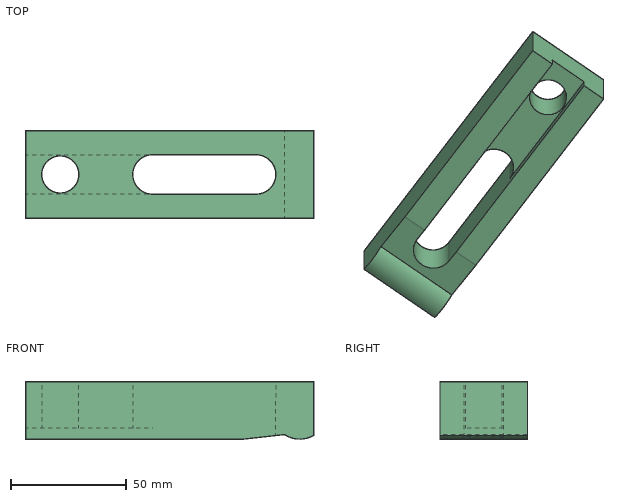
import cadquery as cq
import math

length = 125.0
width = 38.0
height = 25.0

hole_diameter = 16.0
hole_x = 15.0

slot_width = 17.0
slot_start_center_x = 55.0
slot_end_center_x = 100.0
groove_depth = 5.0

relief_start_x = 94.5
nose_start_x = 112.3
nose_center_x = 118.9
nose_radius = 12.0


def nose_z(x):
    """Height of the nose arc, which touches the base plane at its lowest point."""
    return nose_radius - math.sqrt(nose_radius**2 - (x - nose_center_x) ** 2)


def make_bar():
    """Side profile extruded across the full width, centred on Y = 0."""
    return (
        cq.Workplane("XZ")
        .moveTo(0, 0)
        .lineTo(relief_start_x, 0)
        .lineTo(nose_start_x, nose_z(nose_start_x))
        .threePointArc((nose_center_x, 0), (length, nose_z(length)))
        .lineTo(length, height)
        .lineTo(0, height)
        .close()
        .extrude(width / 2, both=True)
    )


def make_hole():
    return cq.Workplane("XY").center(hole_x, 0).circle(hole_diameter / 2).extrude(height)


def make_slot():
    slot_center_x = (slot_start_center_x + slot_end_center_x) / 2
    slot_length = slot_end_center_x - slot_start_center_x + slot_width
    return (
        cq.Workplane("XY")
        .center(slot_center_x, 0)
        .slot2D(slot_length, slot_width)
        .extrude(height)
    )


def make_groove():
    """Groove in the underside from the heel end into the slot."""
    return cq.Workplane("XY").box(
        slot_start_center_x, slot_width, groove_depth, centered=(False, True, False)
    )


result = make_bar().cut(make_hole()).cut(make_slot()).cut(make_groove())